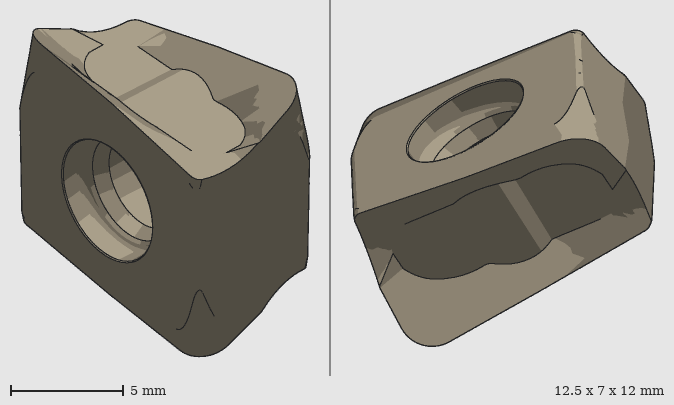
import cadquery as cq
import math

HALF_LENGTH = 6.25
HALF_THICKNESS = 3.5
CLEAR = 8.75
Y_AXIS = (0, 1, 0)
Z_AXIS = (0, 0, 1)

CORNER_LEAN = 0.22
SIDE_DRAFT = 0.14
SIDE_LEAN = 0.024
SIDE_APEX = 6.32
OBTUSE_APEX = 6.36
EDGE_RADIUS = 0.36
CORNER_RADIUS = 1.62
OBTUSE_RADIUS = 0.5

FLANK_OFFSET = 4.41
FLANK_SLOPE = 0.024
LAND_DROP = 0.031
LAND_WIDTH = 1.01
LAND_EDGE_X = HALF_LENGTH - LAND_DROP
ACUTE_X = 6.05

FLOOR_Z = 3.88
BUMP_RADIUS = 3.62
BUMP_BLEND = 0.36
BUMP_HALF_WIDTH = 1.58
RIM_OVERSHOOT = 1.1

BORE_RADIUS = 2.2
BORE_DEPTH = 2.16
SEAT_CONE_RADII = (2.26, 2.51)
SEAT_CONE_DEPTHS = (2.02, 1.45)
SEAT_ARC_RADIUS = 2.66
SEAT_ARC_DEPTH = 1.29
RECESS_RADIUS = 2.92
RECESS_DEPTH = 0.86
MOUTH_RADIUS = 2.98
MOUTH_DEPTH = 0.06
MOUTH_CLEARANCE = 0.12


def half_turn(shape, axis):
    """Rotate a shape by 180 degrees about an axis through the origin."""
    return shape.rotate(cq.Vector(0, 0, 0), cq.Vector(*axis), 180)


def leaning_prism(points, roundings, lean_x, lean_y):
    """Prism over an XY outline at Z = 0, swept both ways along (lean_x, lean_y, 1)."""
    wire = cq.Wire.makePolygon([cq.Vector(x, y, 0) for x, y in points], close=True)
    for index, radius in roundings:
        x, y = points[index]
        corner = min(wire.Vertices(), key=lambda v: math.hypot(v.X - x, v.Y - y))
        wire = wire.fillet2D(radius, [corner])
    sweep = cq.Vector(lean_x, lean_y, 1) * CLEAR
    base = cq.Face.makeFromWires(wire.translate(sweep * -1))
    return cq.Solid.extrudeLinear(base, sweep * 2)


def broad_face_prism():
    """Broad face at -Y with its two drafted end faces and blended edges."""
    near = SIDE_APEX - SIDE_DRAFT * HALF_THICKNESS
    far = SIDE_APEX + SIDE_DRAFT * CLEAR
    points = [(-near, -HALF_THICKNESS), (near, -HALF_THICKNESS), (far, CLEAR), (-far, CLEAR)]
    return leaning_prism(points, [(0, EDGE_RADIUS), (1, EDGE_RADIUS)], -SIDE_LEAN, 0)


def corner_prism():
    """Flanks of the two acute corners at -X, with the end face between them."""
    acute_y = -FLANK_OFFSET - FLANK_SLOPE * ACUTE_X
    obtuse_x = (OBTUSE_APEX - SIDE_DRAFT * FLANK_OFFSET) / (1 - SIDE_DRAFT * FLANK_SLOPE)
    obtuse_y = -FLANK_OFFSET + FLANK_SLOPE * obtuse_x
    points = [
        (-ACUTE_X, acute_y),
        (obtuse_x, obtuse_y),
        (OBTUSE_APEX, 0),
        (obtuse_x, -obtuse_y),
        (-ACUTE_X, -acute_y),
        (-LAND_EDGE_X, LAND_WIDTH),
        (-HALF_LENGTH, 0),
        (-LAND_EDGE_X, -LAND_WIDTH),
    ]
    roundings = [(0, CORNER_RADIUS), (1, OBTUSE_RADIUS), (3, OBTUSE_RADIUS), (4, CORNER_RADIUS)]
    return leaning_prism(points, roundings, 0, CORNER_LEAN)


END = ((-6.2, 0, 4.56), (-4.82, -0.29))
RISE = ((-6.16, -0.9, 5.01), (-4.38, -0.82))
ACUTE_START = ((-6.12, -1.8, 5.46), (-3.68, -1.25))
ACUTE_MIDDLE = ((-5.52, -2.74, 5.82), (-2.82, -1.5))
ACUTE_END = ((-4.44, -3.19, 5.91), (-1.75, -1.52))
MIDDLE = ((0.11, -3.26, 5.11), (1.56, -1.82))
LOW_FLANK = ((3.6, -3.35, 4.31), (3.88, -1.98))
FLANK_END = ((4.62, -3.38, 4.08), (4.44, -1.98))
OBTUSE_START = ((5.3, -3.41, 3.92), (4.79, -1.9))
OBTUSE_MIDDLE = ((5.79, -3.16, 3.79), (4.89, -1.7))
OBTUSE_END = ((6.0, -2.6, 3.71), (4.91, -1.5))
CLIMB = ((6.14, -1.25, 3.94), (4.98, -1.25))
FAR_END = ((6.2, 0, 4.56), (5.05, -0.94))
WALL_SPANS = [
    (END, RISE, ACUTE_START),
    (ACUTE_START, ACUTE_MIDDLE, ACUTE_END),
    (ACUTE_END, MIDDLE),
    (MIDDLE, LOW_FLANK),
    (LOW_FLANK, FLANK_END),
    (FLANK_END, OBTUSE_START),
    (OBTUSE_START, OBTUSE_MIDDLE, OBTUSE_END),
    (OBTUSE_END, CLIMB, FAR_END),
]
END_GUIDE = (5.01, -0.06)


def on_floor(point):
    """Lift an (x, y) pair to the recess floor."""
    return cq.Vector(*point, FLOOR_Z)


def beyond_rim(station):
    """Rim point moved outward along the wall, so that the recess clears the body."""
    rim, floor = station
    if station in (END, FAR_END):
        floor = (math.copysign(END_GUIDE[0], rim[0]), 0)
    start = on_floor(floor)
    return start + (cq.Vector(*rim) - start) * RIM_OVERSHOOT


def edge_through(points):
    """Straight edge through two points, smooth curve through more."""
    if len(points) == 2:
        return cq.Edge.makeLine(*points)
    return cq.Edge.makeSpline(points)


def triangle(*corners):
    """Flat three-cornered face."""
    return cq.Face.makeFromWires(cq.Wire.makePolygon(corners, close=True))


def half_recess_walls():
    """Faces of the front half of the recess, with its floor edges and its upper edges."""
    walls, floor_edges, upper_edges = [], [], []
    for span in WALL_SPANS:
        outer = [beyond_rim(station) for station in span]
        floor_edge = edge_through([on_floor(floor) for _, floor in span])
        rim_edge = edge_through(outer)
        upper_edge = edge_through([cq.Vector(p.x, p.y, CLEAR) for p in outer])
        walls.append(cq.Face.makeRuledSurface(floor_edge, rim_edge))
        walls.append(cq.Face.makeRuledSurface(rim_edge, upper_edge))
        floor_edges.append(floor_edge)
        upper_edges.append(upper_edge)

    apex = beyond_rim(FAR_END)
    guide = on_floor(END_GUIDE)
    next_half = on_floor((-END[1][0], -END[1][1]))
    for start, finish in ((on_floor(FAR_END[1]), guide), (guide, next_half)):
        walls.append(triangle(start, finish, apex))
        floor_edges.append(cq.Edge.makeLine(start, finish))
    return walls, floor_edges, upper_edges


def recess_space():
    """Closed space above the recess floor and inside its walls."""
    walls, floor_edges, upper_edges = (
        shapes + [half_turn(shape, Z_AXIS) for shape in shapes] for shapes in half_recess_walls()
    )
    caps = [
        cq.Face.makeFromWires(cq.Wire.assembleEdges(edges)) for edges in (floor_edges, upper_edges)
    ]
    space = cq.Solid.makeSolid(cq.Shell.makeShell(walls + caps))
    return space.fix()


def floor_bump():
    """Round-topped rise across the floor along Y, blended into the floor at both sides."""
    centre_spread = BUMP_RADIUS + BUMP_BLEND
    centre_z = FLOOR_Z + BUMP_BLEND - math.sqrt(centre_spread**2 - BUMP_HALF_WIDTH**2)
    share = BUMP_RADIUS / centre_spread
    joint_x = BUMP_HALF_WIDTH * share
    joint_z = centre_z + (FLOOR_Z + BUMP_BLEND - centre_z) * share
    return (
        cq.Workplane("XZ")
        .moveTo(-BUMP_HALF_WIDTH, 0)
        .lineTo(-BUMP_HALF_WIDTH, FLOOR_Z)
        .radiusArc((-joint_x, joint_z), -BUMP_BLEND)
        .threePointArc((0, centre_z + BUMP_RADIUS), (joint_x, joint_z))
        .radiusArc((BUMP_HALF_WIDTH, FLOOR_Z), -BUMP_BLEND)
        .lineTo(BUMP_HALF_WIDTH, 0)
        .close()
        .extrude(HALF_THICKNESS, both=True)
    ).val()


def screw_hole():
    """Bore along Y with the same rounded, tapered screw seat at both broad faces."""
    y = -HALF_THICKNESS
    outside = y - MOUTH_CLEARANCE
    half = (
        cq.Workplane("XY")
        .moveTo(0, outside)
        .lineTo(MOUTH_RADIUS, outside)
        .lineTo(MOUTH_RADIUS, y)
        .lineTo(RECESS_RADIUS, y + MOUTH_DEPTH)
        .lineTo(RECESS_RADIUS, y + RECESS_DEPTH)
        .tangentArcPoint((SEAT_ARC_RADIUS, y + SEAT_ARC_DEPTH), relative=False)
        .lineTo(SEAT_CONE_RADII[1], y + SEAT_CONE_DEPTHS[1])
        .lineTo(SEAT_CONE_RADII[0], y + SEAT_CONE_DEPTHS[0])
        .lineTo(BORE_RADIUS, y + BORE_DEPTH)
        .lineTo(BORE_RADIUS, 0)
        .lineTo(0, 0)
        .close()
        .revolve(360, (0, 0, 0), Y_AXIS)
    )
    return half.union(half.mirror("XZ"))


broad = broad_face_prism()
corner = corner_prism()
recess = recess_space().cut(floor_bump())

body = broad
for limit in (half_turn(broad, Z_AXIS), corner, half_turn(corner, Z_AXIS)):
    body = body.intersect(limit)
body = body.cut(recess).cut(half_turn(recess, Y_AXIS))
result = cq.Workplane(body).cut(screw_hole())